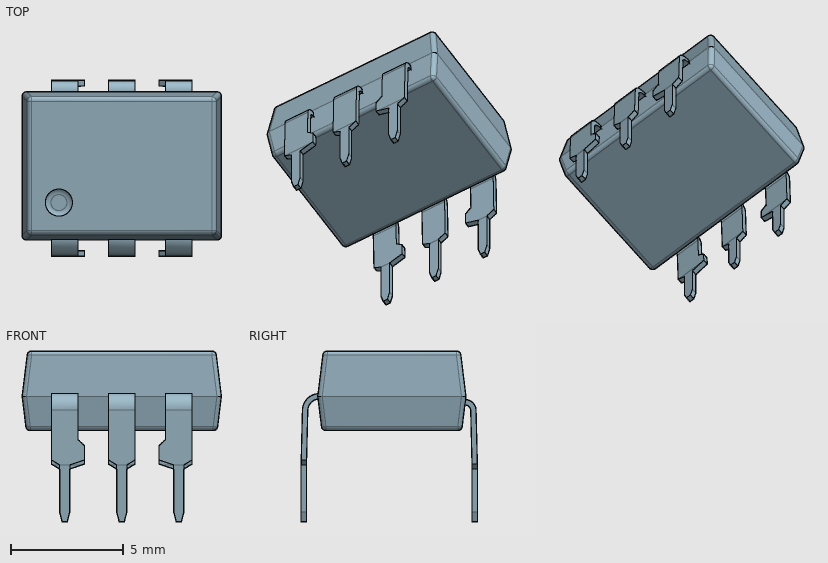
import cadquery as cq
import math


housing_length = 8.89
housing_width = 6.61
housing_center_y = 0.12
upper_height = 2.02
lower_height = 1.53
draft_angle = 7.0
edge_radius = 0.205

dimple_x = -2.8
dimple_y = -1.52
dimple_rim_radius = 0.605
dimple_floor_radius = 0.36
dimple_depth = 0.12

lead_pitch = 2.54
lead_thickness = 0.25
lead_span = 7.87
lead_outer_y = lead_span / 2
lead_tip_z = -5.6
bend_center_z = -0.64
splay_angle = math.radians(1.4)
splay_end_z = -3.06
blade_half_width = 0.6
pin_half_width = 0.23
tip_half_width = 0.12
tip_length = 0.445
shoulder_rise = 0.22
tab_reach = 0.89
tab_top_rise = 0.85
tab_notch_rise = 1.13
root_length = 0.18

front_row = (-1, 0.52, splay_end_z)
back_row = (1, 0.25, -3.245)

lead_places = ((-lead_pitch, 1), (0, 0), (lead_pitch, -1))


def housing_half(height, direction):
    """Drafted half of the housing, above (1) or below (-1) the parting plane, with rounded edges."""
    half = cq.Workplane("XY").rect(housing_length, housing_width).extrude(height, taper=draft_angle)
    parting_edges = cq.selectors.BoxSelector(
        (-housing_length, -housing_width, -edge_radius / 2),
        (housing_length, housing_width, edge_radius / 2),
    )
    half = half.edges(cq.selectors.InverseSelector(parting_edges)).fillet(edge_radius)
    if direction < 0:
        half = half.mirror("XY")
    return half.translate((0, housing_center_y, 0))


def dimple():
    """Cutter for the dimple, revolved about its own axis; its wall arc is tangent to the floor."""
    wall_width = dimple_rim_radius - dimple_floor_radius
    wall_radius = (wall_width**2 + dimple_depth**2) / (2 * dimple_depth)
    wall_angle = math.asin(wall_width / wall_radius)
    wall_middle = (
        dimple_floor_radius + wall_radius * math.sin(wall_angle / 2),
        -dimple_depth + wall_radius * (1 - math.cos(wall_angle / 2)),
    )
    return (
        cq.Workplane("XZ")
        .moveTo(0, 0)
        .lineTo(0, -dimple_depth)
        .lineTo(dimple_floor_radius, -dimple_depth)
        .threePointArc(wall_middle, (dimple_rim_radius, 0))
        .close()
        .revolve(360, (0, 0, 0), (0, 1, 0))
        .translate((dimple_x, dimple_y, upper_height))
    )


def lead_side_strip(side, inner_radius):
    """Bent strip of constant section along X: root, bend, splayed stretch and upright stretch."""
    outer_radius = inner_radius + lead_thickness
    splay_drop = bend_center_z - splay_end_z
    bend_center_y = (
        lead_outer_y
        - outer_radius * math.cos(splay_angle)
        - (splay_drop + outer_radius * math.sin(splay_angle)) * math.tan(splay_angle)
    )
    bend_middle_angle = (math.pi / 2 + splay_angle) / 2

    def on_bend(radius, angle):
        return (
            side * (bend_center_y + radius * math.cos(angle)),
            bend_center_z + radius * math.sin(angle),
        )

    outer_y = side * lead_outer_y
    inner_y = side * (lead_outer_y - lead_thickness)
    root_y = side * (bend_center_y - root_length)
    strip_half_length = tab_reach + blade_half_width
    return (
        cq.Workplane("YZ")
        .moveTo(root_y, bend_center_z + outer_radius)
        .lineTo(*on_bend(outer_radius, math.pi / 2))
        .threePointArc(on_bend(outer_radius, bend_middle_angle), on_bend(outer_radius, splay_angle))
        .lineTo(outer_y, splay_end_z)
        .lineTo(outer_y, lead_tip_z)
        .lineTo(inner_y, lead_tip_z)
        .lineTo(inner_y, splay_end_z)
        .lineTo(*on_bend(inner_radius, splay_angle))
        .threePointArc(on_bend(inner_radius, bend_middle_angle), on_bend(inner_radius, math.pi / 2))
        .lineTo(root_y, bend_center_z + inner_radius)
        .close()
        .extrude(strip_half_length, both=True)
    )


def lead_front_outline(tab_direction, neck_z):
    """Width outline of a lead, cut straight through along Y: blade, shoulders, pin and tapered tip."""
    shoulder_z = neck_z + shoulder_rise
    facing = tab_direction if tab_direction else 1
    if tab_direction:
        near_side = [
            (blade_half_width, upper_height),
            (blade_half_width, neck_z + tab_notch_rise),
            (tab_reach, neck_z + tab_top_rise),
            (tab_reach, shoulder_z),
        ]
    else:
        near_side = [(blade_half_width, upper_height), (blade_half_width, shoulder_z)]
    pin_and_tip = [
        (pin_half_width, neck_z),
        (pin_half_width, lead_tip_z + tip_length),
        (tip_half_width, lead_tip_z),
        (-tip_half_width, lead_tip_z),
        (-pin_half_width, lead_tip_z + tip_length),
        (-pin_half_width, neck_z),
    ]
    far_side = [(-blade_half_width, shoulder_z), (-blade_half_width, upper_height)]
    outline = [(facing * x, z) for x, z in near_side + pin_and_tip + far_side]
    return cq.Workplane("XZ").polyline(outline).close().extrude(housing_width, both=True)


def make_housing():
    """Both drafted halves joined at the parting plane, with the dimple in the top face."""
    upper_half = housing_half(upper_height, 1)
    lower_half = housing_half(lower_height, -1)
    return upper_half.union(lower_half).cut(dimple())


def make_lead(row, x, tab_direction):
    """One lead: the bent strip trimmed to the width outline."""
    side, inner_radius, neck_z = row
    strip = lead_side_strip(side, inner_radius)
    lead = strip.intersect(lead_front_outline(tab_direction, neck_z))
    return lead.translate((x, 0, 0))


housing = make_housing()

leads = []
for row in (front_row, back_row):
    for x, tab_direction in lead_places:
        lead = make_lead(row, x, tab_direction)
        housing = housing.cut(lead)
        leads.append(lead)

result = cq.Compound.makeCompound([housing.solids().val(), *[lead.solids().val() for lead in leads]])